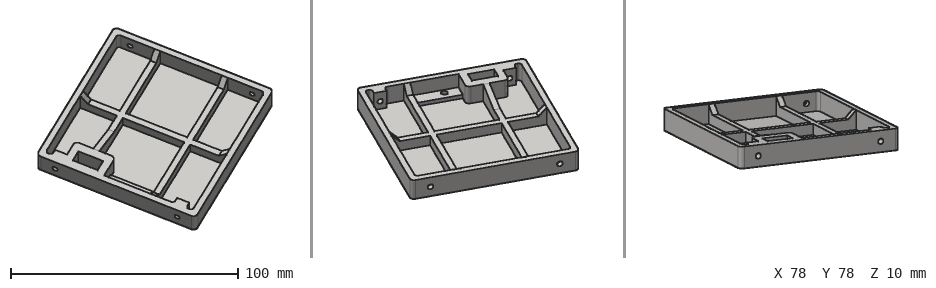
import cadquery as cq

side = 78.0
height = 10.0
wall = 3.0
floor = 1.0
outer_radius = 2.0
inner_radius = 1.5
inner = side / 2 - wall

rib_width = 3.0
rib_top = 6.0
rib_offset = 16.5
ramp_run = height - rib_top
long_ramp_start = -9.8

screw_x = 29.95
screw_diameter = 2.5
screw_boss_width = 5.9
front_boss_y = -32.9
boss_root_radius = 1.5
edge_search = 0.1

block_left = -27.0
block_right = -7.25
block_back = -24.9
block_radius = 2.0
window_length = 12.2
window_width = 5.5
window_x = -17.2
window_y = -31.9

pad_back = -29.8
pad_top = 3.0
drain_y = -33.8
drain_diameter = 3.05


def box_between(x0, x1, y0, y1, z0, z1):
    """Box given by its limits along each axis."""
    return cq.Workplane("XY").box(x1 - x0, y1 - y0, z1 - z0, centered=False).translate((x0, y0, z0))


def rib(start, end, start_ramp, end_ramp):
    """Rib along X whose top ramps from the rim down to rib_top and back."""
    profile = [
        (start, 0),
        (end, 0),
        (end, height),
        (end - end_ramp, rib_top),
        (start + start_ramp, rib_top),
        (start, height),
    ]
    return cq.Workplane("XZ").polyline(profile).close().extrude(rib_width / 2, both=True)


def rib_along_y(x, front, front_ramp):
    """Rib along Y ending at the back wall."""
    along_x = rib(front, inner, front_ramp, ramp_run)
    return along_x.rotate((0, 0, 0), (0, 0, 1), 90).translate((x, 0, 0))


boss_inner = screw_x - screw_boss_width / 2
boss_outer = screw_x + screw_boss_width / 2
cavity = box_between(-inner, inner, -inner, inner, floor, height).edges("|Z").fillet(inner_radius)
block = box_between(block_left, block_right, -inner, block_back, floor, height)
block = block.edges("|Z and >Y").fillet(block_radius)
left_boss = box_between(-boss_outer, block_left, -inner, front_boss_y, floor, height)
right_boss = box_between(boss_inner, boss_outer, -inner, front_boss_y, floor, height)
cavity = cavity.cut(block).cut(left_boss).cut(right_boss)
for root_x in (-boss_outer, boss_inner, boss_outer):
    root = cq.selectors.BoxSelector(
        (root_x - edge_search, -inner - edge_search, 0),
        (root_x + edge_search, -inner + edge_search, height),
    )
    cavity = cavity.edges("|Z").edges(root).fillet(boss_root_radius)

tray = cq.Workplane("XY").box(side, side, height, centered=(True, True, False))
tray = tray.edges("|Z").fillet(outer_radius).cut(cavity)

for x in (-screw_x, screw_x):
    drill = cq.Workplane("XZ").center(x, height / 2).circle(screw_diameter / 2).extrude(side / 2, both=True)
    tray = tray.cut(drill)

tray = tray.union(rib(-inner, inner, ramp_run, ramp_run))
tray = tray.union(rib_along_y(-rib_offset, block_back, long_ramp_start - block_back))
tray = tray.union(rib_along_y(rib_offset, -inner, ramp_run))
pad_right = rib_offset - rib_width / 2
tray = tray.union(box_between(block_right, pad_right, -inner, pad_back, 0, pad_top))

window = cq.Workplane("XY").center(window_x, window_y).rect(window_length, window_width).extrude(height)
drain = cq.Workplane("XY").center(0, drain_y).circle(drain_diameter / 2).extrude(height)
result = tray.cut(window).cut(drain)